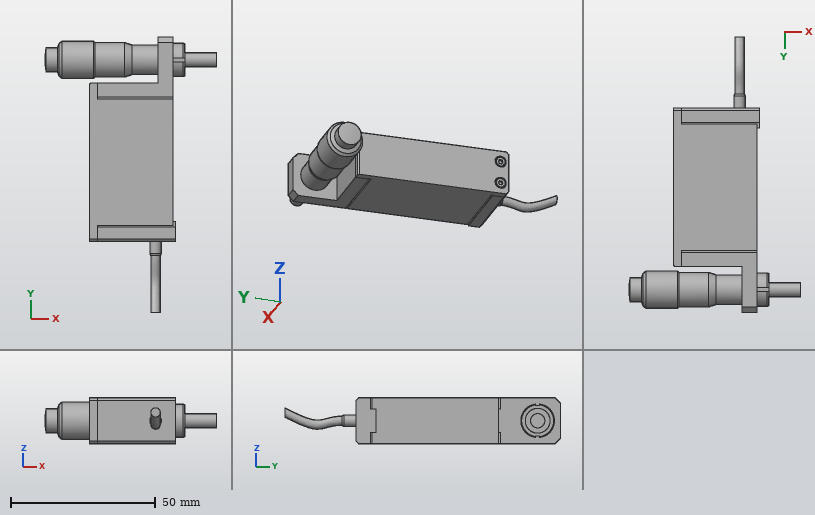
import cadquery as cq
import math


height = 16.0
length = 70.9
plate_thickness = 2.9
block_right = 29.1
cap_right = 29.9
lug_thickness = 5.4
foot_thickness = 5.0
gap = 0.6
tongue_height = height / 2
tongue_insert = 1.4
lug_chamfer = 1.9
end_chamfer = 1.0
plate_chamfer = 0.5

lug_top = height / 2
housing_top = -height / 2
end_face = lug_top - length
bracket_bottom = housing_top - foot_thickness
block_top = bracket_bottom - gap
cap_top = end_face + foot_thickness
block_bottom = cap_top + gap
lug_left = block_right - lug_thickness

screw_spacing = 8.0
screw_heights = [-screw_spacing / 2, screw_spacing / 2]
screw_inset = 3.0
head_radius = 1.6
head_height = 1.5
counterbore_radius = 2.0
shank_radius = 1.0
shank_length = 5.7
socket_across_corners = 1.6
socket_depth = 0.8
socket_point_depth = 0.4

dome_tip = -15.4
knob_face = -15.0
knob_radius = 4.2
back_start = -11.1
back_end = -10.5
back_radius = 5.6
grip_start = -9.6
grip_end = 1.4
grip_radius = 6.5
skirt_start = 2.0
skirt_radius = 6.0
skirt_end = 12.2
thimble_end = 14.8
barrel_radius = 5.2
stem_radius = 4.3
spindle_radius = 2.5
spindle_tip = 44.1

nut_radius = 5.8
nut_length = 4.0
nut_chamfer_length = 0.6
nut_chamfer_depth = 0.3
nut_slot_width = 1.4
nut_slot_depth = 0.6

total_length = 95.6
cable_x = 22.9
cable_radius = 1.6
dip_run = 9.0
dip_drop = 1.3
rise_run = 5.2
rise_height = 0.4
cut_height = 2.9
cut_slope = 0.5
gland_radius = 2.0
gland_straight = 4.2
gland_length = 4.8
gland_tip_radius = 1.7


def box(x_range, y_range, z_size):
    """Box between two X values and two Y values, centred on Z = 0."""
    x0, x1 = x_range
    y0, y1 = y_range
    return (
        cq.Workplane("XY")
        .box(x1 - x0, y1 - y0, z_size)
        .translate(((x0 + x1) / 2, (y0 + y1) / 2, 0))
    )


def rod(radius, x_start, x_end):
    """Cylinder along the micrometer axis."""
    return cq.Workplane("YZ", origin=(x_start, 0, 0)).circle(radius).extrude(x_end - x_start)


def screw_places():
    """Workplane on the plate's outer face, facing +X, with a point on each screw axis."""
    y = end_face + screw_inset
    return cq.Workplane("YZ").pushPoints([(y, z) for z in screw_heights])


def cap_tongue():
    """Tongue of the end cap, reaching into a slot of the housing block."""
    return box((plate_thickness, cap_right), (cap_top, block_bottom + tongue_insert), tongue_height)


def make_housing():
    plate = box((0, plate_thickness), (end_face, housing_top), height)
    plate = plate.edges("|Z and <X and >Y").chamfer(plate_chamfer)
    plate = plate.edges("|X and <Y").chamfer(end_chamfer)
    block = box((plate_thickness, block_right), (block_bottom, block_top), height)
    counterbores = screw_places().circle(counterbore_radius).extrude(head_height)
    screw_holes = screw_places().circle(shank_radius).extrude(plate_thickness)
    return plate.union(block).cut(cap_tongue()).cut(counterbores).cut(screw_holes)


def make_bracket():
    lug = box((lug_left, block_right), (bracket_bottom, lug_top), height)
    lug = lug.edges("|X and >Y").chamfer(lug_chamfer)
    foot = box((plate_thickness, block_right), (bracket_bottom, housing_top), height)
    tongue = box((plate_thickness, block_right), (block_top, bracket_bottom), tongue_height)
    return lug.union(foot).union(tongue).cut(rod(stem_radius, lug_left, block_right))


def make_end_cap():
    cap = box((plate_thickness, cap_right), (end_face, cap_top), height)
    cap = cap.edges("|X and <Y").chamfer(end_chamfer)
    screw_holes = screw_places().circle(shank_radius).extrude(head_height + shank_length)
    return cap.union(cap_tongue()).cut(screw_holes)


def make_screw(z):
    """Socket head screw, its head flush with the side plate."""
    face = cq.Workplane("YZ", origin=(0, end_face + screw_inset, z))
    head = face.circle(head_radius).extrude(head_height)
    shank = face.circle(shank_radius).extrude(head_height + shank_length)
    socket = face.polygon(6, socket_across_corners).extrude(socket_depth)
    socket_point = cq.Solid.makeCone(
        socket_across_corners * math.cos(math.pi / 6) / 2, 0, socket_point_depth,
        cq.Vector(socket_depth, end_face + screw_inset, z), cq.Vector(1, 0, 0),
    )
    return head.union(shank).cut(socket).cut(socket_point)


def make_thimble():
    """Knob, thimble and spindle, turning together."""
    dome_rise = knob_face - dome_tip
    dome_radius = (knob_radius**2 + dome_rise**2) / (2 * dome_rise)
    mid_radius = knob_radius / 2
    dome_mid = dome_tip + dome_radius - math.sqrt(dome_radius**2 - mid_radius**2)
    return (
        cq.Workplane("XY")
        .moveTo(dome_tip, 0)
        .threePointArc((dome_mid, mid_radius), (knob_face, knob_radius))
        .lineTo(back_start, knob_radius)
        .lineTo(back_end, back_radius)
        .lineTo(grip_start, grip_radius)
        .lineTo(grip_end, grip_radius)
        .lineTo(skirt_start, skirt_radius)
        .lineTo(skirt_end, skirt_radius)
        .lineTo(thimble_end, barrel_radius)
        .lineTo(thimble_end, spindle_radius)
        .lineTo(spindle_tip, spindle_radius)
        .lineTo(spindle_tip, 0)
        .close()
        .revolve(360, (0, 0, 0), (1, 0, 0))
    )


def make_barrel():
    nut_end = block_right + nut_length
    sleeve = rod(barrel_radius, thimble_end, lug_left)
    stem = rod(stem_radius, lug_left, nut_end)
    return sleeve.union(stem).cut(rod(spindle_radius, thimble_end, nut_end))


def make_nut():
    """Ring nut with a wrench slot along its top and bottom."""
    nut_end = block_right + nut_length
    nut = (
        cq.Workplane("XY")
        .moveTo(block_right, stem_radius)
        .lineTo(block_right, nut_radius)
        .lineTo(nut_end - nut_chamfer_length, nut_radius)
        .lineTo(nut_end, nut_radius - nut_chamfer_depth)
        .lineTo(nut_end, stem_radius)
        .close()
        .revolve(360, (0, 0, 0), (1, 0, 0))
    )
    slot_y = (-nut_slot_width / 2, nut_slot_width / 2)
    slot_bar = box((block_right, nut_end), slot_y, 2 * nut_radius)
    slot_core = box((block_right, nut_end), slot_y, 2 * (nut_radius - nut_slot_depth))
    return nut.cut(slot_bar.cut(slot_core))


def make_cable():
    """Cable with its gland; every cross-section of the cable is parallel to XZ."""
    gland = (
        cq.Workplane("XY", origin=(cable_x, end_face, 0))
        .lineTo(gland_radius, 0)
        .lineTo(gland_radius, -gland_straight)
        .lineTo(gland_tip_radius, -gland_length)
        .lineTo(0, -gland_length)
        .close()
        .revolve(360, (0, 0, 0), (0, 1, 0))
    )
    cable_start = end_face - gland_length
    cable_end = lug_top - total_length
    path = cq.Workplane("YZ", origin=(cable_x, 0, 0)).spline(
        [
            (cable_start, 0),
            (cable_start - dip_run, -dip_drop),
            (cable_end + rise_run, rise_height),
            (cable_end, cut_height),
        ],
        tangents=[(-1, 0), (-1, cut_slope)],
    )
    lead = (
        cq.Workplane("XZ", origin=(cable_x, cable_start, 0))
        .circle(cable_radius)
        .sweep(path, normal=(0, 1, 0))
    )
    return gland.union(lead)


housing = make_housing()
bracket = make_bracket()
end_cap = make_end_cap()
screws = [make_screw(z) for z in screw_heights]
thimble = make_thimble()
barrel = make_barrel()
nut = make_nut()
cable = make_cable()

result = cq.Compound.makeCompound(
    [
        housing.val(),
        bracket.val(),
        end_cap.val(),
        *[screw.val() for screw in screws],
        thimble.val(),
        barrel.val(),
        nut.val(),
        cable.val(),
    ]
)